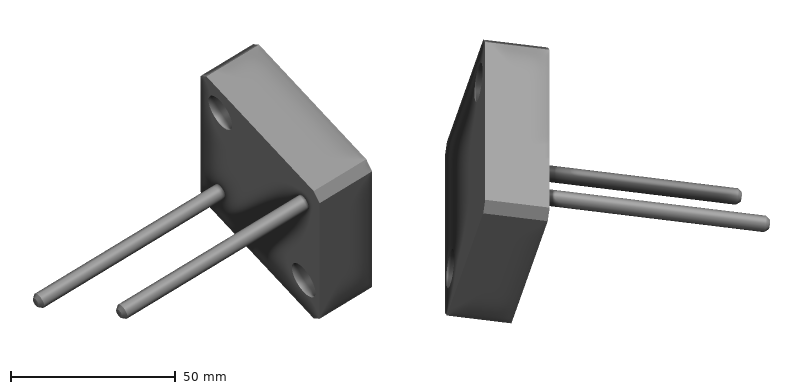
import cadquery as cq

overall_length = 90.0
block_width = 60.0
block_height = 65.0
block_depth = 20.0
corner_chamfer = 3.0

left_offset = 10.0
bottom_offset = 14.0
column_spacing = 42.0
row_spacing = 40.0
left_x = left_offset - block_width / 2
right_x = left_x + column_spacing
lower_z = bottom_offset - block_height / 2
upper_z = lower_z + row_spacing

hole_diameter = 12.0
hole_centers = [(left_x, upper_z), (right_x, lower_z)]

pin_diameter = 5.0
pin_length = overall_length - block_depth
pin_tip_chamfer_length = 1.3
pin_tip_chamfer_radial = 1.0
pin_centers = [(left_x, lower_z), (right_x, upper_z)]


def make_block():
    """Rectangular block with chamfered corners and a front face at Y = 0."""
    return (
        cq.Workplane("XZ")
        .rect(block_width, block_height)
        .extrude(-block_depth)
        .edges("|Y")
        .chamfer(corner_chamfer)
    )


def make_holes():
    """Cutters for the two diagonal through holes."""
    return cq.Workplane("XZ").pushPoints(hole_centers).circle(hole_diameter / 2).extrude(-block_depth)


def make_pin(x, z):
    """Round pin with a tapered tip, standing on the block's front face."""
    radius = pin_diameter / 2
    profile = [
        (0, 0),
        (radius, 0),
        (radius, -pin_length + pin_tip_chamfer_length),
        (radius - pin_tip_chamfer_radial, -pin_length),
        (0, -pin_length),
    ]
    pin = cq.Workplane("XY").polyline(profile).close().revolve(360, (0, 0), (0, 1))
    return pin.translate((x, 0, z))


result = make_block().cut(make_holes())
for pin_x, pin_z in pin_centers:
    result = result.union(make_pin(pin_x, pin_z))